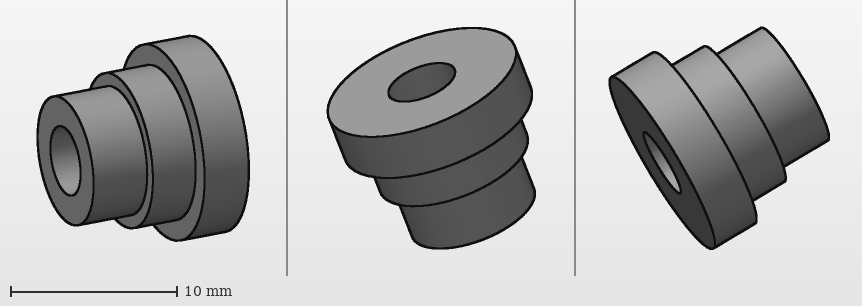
import cadquery as cq

flange_diameter = 12.01
shoulder_diameter = 9.5
nose_diameter = 7.9
bore_diameter = 4.25

total_length = 9.37
nose_length = 3.57
flange_length = 2.95
shoulder_length = total_length - nose_length - flange_length


def cylinder_along_y(diameter, start, length):
    """Solid cylinder on the Y axis, running from start towards +Y."""
    plane = cq.Plane(origin=(0, start, 0), xDir=(1, 0, 0), normal=(0, 1, 0))
    return cq.Workplane(plane).circle(diameter / 2).extrude(length)


nose = cylinder_along_y(nose_diameter, 0, nose_length)
shoulder = cylinder_along_y(shoulder_diameter, nose_length, shoulder_length)
flange = cylinder_along_y(flange_diameter, nose_length + shoulder_length, flange_length)
bore = cylinder_along_y(bore_diameter, 0, total_length)

result = nose.union(shoulder).union(flange).cut(bore)